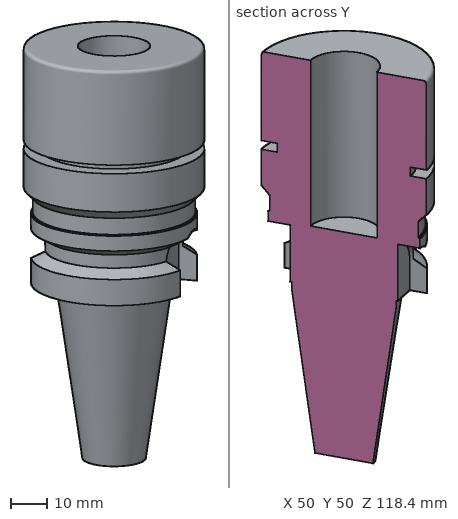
import cadquery as cq
import math


gauge_radius = 31.75 / 2
taper_length = 48.4
taper_ratio = 7 / 24
tip_radius = gauge_radius - taper_length * taper_ratio / 2

flange_radius = 23.0
flange_bottom = 2.0
flange_top = 22.3
flange_top_chamfer = 0.3
groove_floor_radius = 19.2
groove_middle = 13.6
groove_mouth_width = 8.2
groove_wall_angle = 30.0
groove_wall_height = (flange_radius - groove_floor_radius) * math.tan(math.radians(groove_wall_angle))
groove_mouth_bottom = groove_middle - groove_mouth_width / 2
groove_mouth_top = groove_middle + groove_mouth_width / 2

head_radius = 25.0
head_top = 70.0
head_top_fillet = 1.0
neck_radius = 22.5
collar_bottom = 29.5
neck_top = collar_bottom - (head_radius - neck_radius)
relief_radius = 20.2
relief_bottom = 40.5
relief_top = 43.0

bore_radius = 10.0
bore_depth = 50.0

slot_width = 16.1
slot_floor_distance = 16.3
slot_arc_height = 11.0


def make_turned_body():
    """Revolve the outside profile; points are (radius, height), from the tip up to the head fillet."""
    outline_below_fillet = [
        (0, -taper_length),
        (tip_radius, -taper_length),
        (gauge_radius, 0),
        (gauge_radius, flange_bottom),
        (flange_radius, flange_bottom),
        (flange_radius, groove_mouth_bottom),
        (groove_floor_radius, groove_mouth_bottom + groove_wall_height),
        (groove_floor_radius, groove_mouth_top - groove_wall_height),
        (flange_radius, groove_mouth_top),
        (flange_radius, flange_top - flange_top_chamfer),
        (flange_radius - flange_top_chamfer, flange_top),
        (neck_radius, flange_top),
        (neck_radius, neck_top),
        (head_radius, collar_bottom),
        (head_radius, relief_bottom),
        (relief_radius, relief_bottom),
        (relief_radius, relief_top),
        (head_radius, relief_top),
        (head_radius, head_top - head_top_fillet),
    ]
    fillet_inset = head_top_fillet * (1 - math.sqrt(0.5))
    return (
        cq.Workplane("XZ")
        .polyline(outline_below_fillet)
        .threePointArc(
            (head_radius - fillet_inset, head_top - fillet_inset),
            (head_radius - head_top_fillet, head_top),
        )
        .lineTo(0, head_top)
        .close()
        .revolve(360, (0, 0), (0, 1))
    )


def make_bore():
    """Blind bore entering from the top face."""
    return cq.Workplane("XY").workplane(offset=head_top - bore_depth).circle(bore_radius).extrude(bore_depth)


def make_drive_slot(side):
    """Round-topped slot, open below; side is -1 or +1 along X."""
    half_width = slot_width / 2
    slot_depth = flange_radius - slot_floor_distance
    return (
        cq.Workplane("YZ")
        .workplane(offset=side * slot_floor_distance)
        .moveTo(-half_width, flange_bottom)
        .lineTo(half_width, flange_bottom)
        .lineTo(half_width, slot_arc_height)
        .threePointArc((0, slot_arc_height + half_width), (-half_width, slot_arc_height))
        .close()
        .extrude(side * slot_depth)
    )


result = make_turned_body().cut(make_bore())
for slot_side in (-1, 1):
    result = result.cut(make_drive_slot(slot_side))